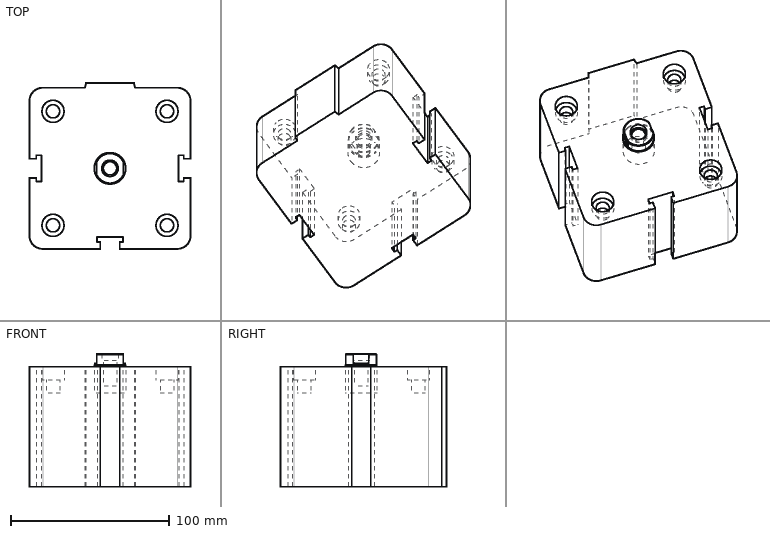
import cadquery as cq

body_width = 102.0
body_height = 76.0
corner_radius = 8.5
cap_height = 16.5

slot_opening = 12.1
slot_inner_width = 16.4
slot_lip = 4.5
slot_depth = 7.6

overall_depth = 105.0
rail_root_width = 31.7
rail_tip_width = 30.3

hole_spacing = 72.0
mount_hole_diameter = 8.4
counterbore_diameter = 14.0
counterbore_depth = 8.4
mount_hole_depth = cap_height

overall_height = 84.0
rod_diameter = 20.0
collar_height = 1.2
collar_chamfer = 0.3
rod_end_diameter = 19.5
rod_end_chamfer = 0.4
width_across_flats = 17.0
flat_height = 6.0
thread_diameter = 8.4
thread_depth = 20.0
recess_diameter = 10.4
recess_depth = 4.0

half_width = body_width / 2
rod_bottom = body_height - cap_height


def t_slot(angle):
    """T-shaped cutter in the -Y side, turned about Z by the given angle."""
    mouth = cq.Workplane("XY").box(
        slot_opening, slot_depth, body_height, centered=(True, False, False)
    )
    undercut = (
        cq.Workplane("XY")
        .box(slot_inner_width, slot_depth - slot_lip, body_height, centered=(True, False, False))
        .translate((0, slot_lip, 0))
    )
    cutter = mouth.union(undercut).translate((0, -half_width, 0))
    return cutter.rotate((0, 0, 0), (0, 0, 1), angle)


def side_rail():
    """Full-height rail that narrows towards its outer face."""
    rail_tip = overall_depth - half_width
    return (
        cq.Workplane("XY")
        .polyline(
            [
                (-rail_root_width / 2, half_width),
                (rail_root_width / 2, half_width),
                (rail_tip_width / 2, rail_tip),
                (-rail_tip_width / 2, rail_tip),
            ]
        )
        .close()
        .extrude(body_height)
    )


def make_housing():
    block = (
        cq.Workplane("XY")
        .rect(body_width, body_width)
        .extrude(body_height)
        .edges("|Z")
        .fillet(corner_radius)
        .union(side_rail())
    )
    for angle in (0, 90, -90):
        block = block.cut(t_slot(angle))
    block = (
        block.faces(">Z")
        .workplane(origin=(0, 0, body_height))
        .rect(hole_spacing, hole_spacing, forConstruction=True)
        .vertices()
        .cboreHole(
            mount_hole_diameter, counterbore_diameter, counterbore_depth, depth=mount_hole_depth
        )
    )
    socket = cq.Workplane("XY").workplane(offset=rod_bottom).circle(rod_diameter / 2).extrude(cap_height)
    return block.cut(socket)


def make_piston_rod():
    collar_top = body_height + collar_height
    shank = (
        cq.Workplane("XY")
        .workplane(offset=rod_bottom)
        .circle(rod_diameter / 2)
        .extrude(collar_top - rod_bottom)
        .faces(">Z")
        .chamfer(collar_chamfer)
    )
    rod_end = (
        cq.Workplane("XY")
        .workplane(offset=rod_bottom)
        .circle(rod_end_diameter / 2)
        .extrude(overall_height - rod_bottom)
        .faces(">Z")
        .chamfer(rod_end_chamfer)
    )
    rod = shank.union(rod_end)

    for side in (-1, 1):
        flat_cutter = (
            cq.Workplane("XY")
            .box(rod_diameter, rod_diameter, flat_height, centered=(True, True, False))
            .translate((side * (width_across_flats + rod_diameter) / 2, 0, overall_height - flat_height))
        )
        rod = rod.cut(flat_cutter)

    return (
        rod.faces(">Z")
        .workplane(origin=(0, 0, overall_height))
        .cboreHole(thread_diameter, recess_diameter, recess_depth, depth=thread_depth)
    )


housing = make_housing()
piston_rod = make_piston_rod()

result = cq.Compound.makeCompound([housing.val(), piston_rod.val()])